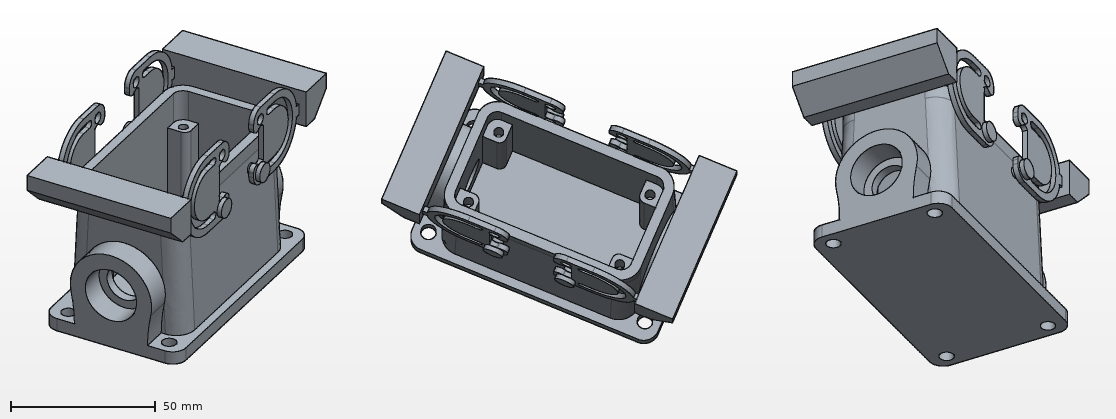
import cadquery as cq
import math

base_length = 92.2
base_width = 53.5
base_thickness = 5.0
base_corner_radius = 5.3
base_hole_diameter = 5.3
base_hole_x = 20.0
base_hole_y = 40.5

body_length = 73.0
body_bottom_width = 47.2
body_rim_width = 42.7
rim_start_z = 51.5
rim_top_z = 56.8
body_corner_radius = 7.4
wall_thickness = 3.6
cavity_length = body_length - 2 * wall_thickness
cavity_width = body_rim_width - 2 * wall_thickness
cavity_corner_radius = body_corner_radius - wall_thickness
floor_z = base_thickness

post_top_z = 45.0
post_inner_x = 9.9
post_inner_y = 25.1
post_edge_radius = 2.5
post_hole_x = 13.4
post_hole_y = 28.3
post_hole_diameter = 3.4
post_hole_depth = 10.9

boss_radius = 16.1
boss_axis_z = 20.9
boss_neck_half_width = 14.5
entry_diameter = 20.3
entry_depth = (base_length - body_length) / 2
bore_diameter = 14.0

lever_inner_x = 23.7
lever_thickness = 2.0
lever_center_z = 57.5
lever_half_height = 15.5
lever_arc_y = 23.3
lever_edge_y = 15.4
hook_end_y = 8.6
hook_radius = 4.9
tip_radius = 2.2
tip_rise = 8.8
recess_radius = 1.9
recess_y = 13.7
slot_width = 2.9
slot_radius = 11.0
slot_end_y = 19.3

pin_y = 13.4
pin_offset = 10.6
pin_diameter = 4.0
pin_head_diameter = 7.2
pin_head_thickness = 1.7
pin_root_x = 20.2
pin_z = lever_center_z - pin_offset

handle_width = 57.0
handle_outer_y = 54.5
handle_inner_y = 40.3
handle_top_z = 65.5
handle_bottom_z = 51.5
handle_slope_y = 46.2
handle_slope_z = 59.5
tab_height = 4.4
tab_overlap = 1.1

SIDES = (1, -1)


def rounded_rectangle(width, length, radius):
    return cq.Sketch().rect(width, length).vertices().fillet(radius)


def rounded_prism(width, length, radius, bottom_z, top_z):
    outline = rounded_rectangle(width, length, radius)
    return cq.Workplane("XY", origin=(0, 0, bottom_z)).placeSketch(outline).extrude(top_z - bottom_z)


def with_mirror_in_y(shape):
    return shape.union(shape.mirror("XZ"))


def with_mirror_in_x(shape):
    return shape.union(shape.mirror("YZ"))


def corner_points(x, y):
    return [(side_x * x, side_y * y) for side_x in SIDES for side_y in SIDES]


def circle_point(center, radius, angle):
    return (center[0] + radius * math.cos(angle), center[1] + radius * math.sin(angle))


def make_base():
    base = rounded_prism(base_width, base_length, base_corner_radius, 0, base_thickness)
    holes = (
        cq.Workplane("XY")
        .pushPoints(corner_points(base_hole_x, base_hole_y))
        .circle(base_hole_diameter / 2)
        .extrude(base_thickness)
    )
    return base.cut(holes)


def make_body():
    bottom = rounded_rectangle(body_bottom_width, body_length, body_corner_radius)
    top = rounded_rectangle(body_rim_width, body_length, body_corner_radius)
    lean_height = rim_start_z - base_thickness
    leaning_walls = (
        cq.Workplane("XY", origin=(0, 0, base_thickness))
        .placeSketch(bottom, top.moved(cq.Location(cq.Vector(0, 0, lean_height))))
        .loft(ruled=True)
    )
    rim = rounded_prism(body_rim_width, body_length, body_corner_radius, rim_start_z, rim_top_z)
    return leaning_walls.union(rim)


def make_bosses():
    """Round boss whose sides sweep down into a straight-sided neck at the base."""
    drop = boss_axis_z - base_thickness
    narrowing = boss_radius - boss_neck_half_width
    neck_radius = (boss_neck_half_width**2 + drop**2 - boss_radius**2) / (2 * narrowing)
    neck_center = (boss_neck_half_width + neck_radius, base_thickness)
    neck_angle = math.asin(drop / (boss_radius + neck_radius))
    join_x, join_z = circle_point((0, boss_axis_z), boss_radius, -neck_angle)
    middle_x, middle_z = circle_point(neck_center, neck_radius, math.pi - neck_angle / 2)
    outline = (
        cq.Workplane("XZ")
        .moveTo(-boss_neck_half_width, base_thickness)
        .threePointArc((-middle_x, middle_z), (-join_x, join_z))
        .threePointArc((0, boss_axis_z + boss_radius), (join_x, join_z))
        .threePointArc((middle_x, middle_z), (boss_neck_half_width, base_thickness))
        .close()
    )
    return outline.extrude(base_length / 2, both=True)


def make_cavity():
    return rounded_prism(cavity_width, cavity_length, cavity_corner_radius, floor_z, rim_top_z)


def make_posts():
    size_x = cavity_width / 2 - post_inner_x
    size_y = cavity_length / 2 - post_inner_y
    post = (
        cq.Workplane("XY", origin=(post_inner_x, post_inner_y, floor_z))
        .rect(size_x, size_y, centered=False)
        .extrude(post_top_z - floor_z)
        .edges("|Z and <X and <Y")
        .fillet(post_edge_radius)
    )
    hole = (
        cq.Workplane("XY", origin=(post_hole_x, post_hole_y, post_top_z))
        .circle(post_hole_diameter / 2)
        .extrude(-post_hole_depth)
    )
    post = post.cut(hole).intersect(make_cavity())
    return with_mirror_in_x(with_mirror_in_y(post))


def make_entry_holes():
    axis_plane = cq.Workplane("XZ", origin=(0, 0, boss_axis_z))
    bore = axis_plane.circle(bore_diameter / 2).extrude(base_length / 2, both=True)
    entry = (
        cq.Workplane("XZ", origin=(0, base_length / 2, boss_axis_z))
        .circle(entry_diameter / 2)
        .extrude(entry_depth)
    )
    return bore.union(with_mirror_in_y(entry))


def lever_plane():
    return cq.Workplane("YZ", origin=(lever_inner_x, 0, lever_center_z))


def make_lever():
    """D-shaped plate with a hook above and below, a C-shaped slot and one open pin hole."""
    tip_y = hook_end_y + tip_radius
    tip_center = (tip_y, tip_rise)
    recess_angle = math.acos((recess_y - tip_y) / (tip_radius + recess_radius))
    recess_rise = tip_rise - (tip_radius + recess_radius) * math.sin(recess_angle)
    tip_end = circle_point(tip_center, tip_radius, -recess_angle)
    tip_middle = circle_point(tip_center, tip_radius, -(math.pi + recess_angle) / 2)
    edge_rise = recess_rise + math.sqrt(recess_radius**2 - (lever_edge_y - recess_y) ** 2)
    hook_center = (hook_end_y + hook_radius, lever_half_height - hook_radius)
    upper_half = (
        lever_plane()
        .moveTo(lever_arc_y + lever_half_height, 0)
        .threePointArc(
            circle_point((lever_arc_y, 0), lever_half_height, math.pi / 4),
            (lever_arc_y, lever_half_height),
        )
        .lineTo(hook_center[0], lever_half_height)
        .threePointArc(
            circle_point(hook_center, hook_radius, 3 * math.pi / 4),
            (hook_end_y, hook_center[1]),
        )
        .lineTo(hook_end_y, tip_rise)
        .threePointArc(tip_middle, tip_end)
        .threePointArc((recess_y, recess_rise + recess_radius), (lever_edge_y, edge_rise))
        .lineTo(lever_edge_y, 0)
        .close()
        .extrude(lever_thickness)
    )
    plate = upper_half.union(upper_half.mirror("XY", (0, 0, lever_center_z)))
    pin_hole = lever_plane().center(pin_y, pin_offset).circle(pin_diameter / 2).extrude(lever_thickness)
    return plate.cut(make_lever_slot()).cut(pin_hole)


def make_lever_slot():
    outer = slot_radius + slot_width / 2
    inner = slot_radius - slot_width / 2
    end_tip_y = slot_end_y - slot_width / 2
    return (
        lever_plane()
        .moveTo(slot_end_y, outer)
        .lineTo(lever_arc_y, outer)
        .threePointArc((lever_arc_y + outer, 0), (lever_arc_y, -outer))
        .lineTo(slot_end_y, -outer)
        .threePointArc((end_tip_y, -slot_radius), (slot_end_y, -inner))
        .lineTo(lever_arc_y, -inner)
        .threePointArc((lever_arc_y + inner, 0), (lever_arc_y, inner))
        .lineTo(slot_end_y, inner)
        .threePointArc((end_tip_y, slot_radius), (slot_end_y, outer))
        .close()
        .extrude(lever_thickness)
    )


def make_pin():
    lever_outer_x = lever_inner_x + lever_thickness
    shank = (
        cq.Workplane("YZ", origin=(pin_root_x, pin_y, pin_z))
        .circle(pin_diameter / 2)
        .extrude(lever_outer_x - pin_root_x)
    )
    head = (
        cq.Workplane("YZ", origin=(lever_outer_x, pin_y, pin_z))
        .circle(pin_head_diameter / 2)
        .extrude(pin_head_thickness)
    )
    return shank.union(head)


def make_tab():
    """Bridge between the rounded end of a lever and the handle bar."""
    start_y = lever_arc_y + lever_half_height - tab_overlap
    tab_length = handle_inner_y - start_y
    return (
        lever_plane()
        .center(start_y + tab_length / 2, 0)
        .rect(tab_length, tab_height)
        .extrude(lever_thickness)
    )


def make_handle():
    outline = [
        (handle_inner_y, handle_bottom_z),
        (handle_slope_y, handle_bottom_z),
        (handle_outer_y, handle_slope_z),
        (handle_outer_y, handle_top_z),
        (handle_inner_y, handle_top_z),
    ]
    return cq.Workplane("YZ").polyline(outline).close().extrude(handle_width / 2, both=True)


def make_locking_bails():
    lever_side = make_lever().union(make_pin()).union(make_tab())
    bail = with_mirror_in_x(lever_side).union(make_handle())
    return with_mirror_in_y(bail)


housing = make_base().union(make_body()).union(make_bosses())
housing = housing.cut(make_cavity()).union(make_posts()).cut(make_entry_holes())
result = housing.union(make_locking_bails())